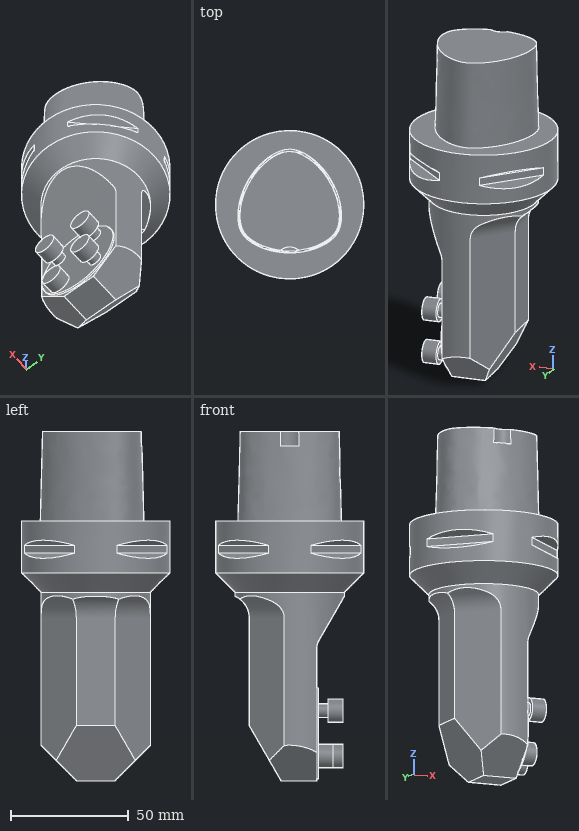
import math

import cadquery as cq


shank_height = 38.0
shank_mean_radius = 22.0
shank_taper = 1 / 40
lobe_amplitude = 1.55
profile_points = 36

notch_radius = 6.0
notch_innermost_y = -17.9
notch_depth = 6.3

collar_diameter = 63.0
collar_radius = collar_diameter / 2
collar_height = 22.0
neck_diameter = 46.5
neck_radius = neck_diameter / 2
cone_height = collar_radius - neck_radius
total_height = 148.3
tip_z = shank_height - total_height
neck_top_z = -collar_height - cone_height

slot_count = 4
slot_floor_distance = 27.7
slot_floor_width = 3.3
slot_centre_z = -12.0
slot_flank_angle = 30.0

back_flat_distance = 17.2
side_flat_distance = 18.0
side_flat_turn = 45.0
flat_start_z = -41.1
runout_radius = 10.0
back_runout_sweep = 90.0
side_runout_sweep = 45.0

mount_face_x = 11.5
slope_angle = 60.0
slope_start_z = -31.9
slope_blend_radius = 8.0

back_bevel_angle = 60.0
tip_back_x = -3.6
tip_half_width = 8.0

disc_diameter = 38.6
disc_thickness = 0.8
disc_centre_rise = 20.3
disc_centre_z = tip_z + disc_centre_rise
disc_face_x = mount_face_x + disc_thickness
bolt_circle_radius = 13.6
bolt_offset = bolt_circle_radius * math.sin(math.radians(45))
screw_head_diameter = 10.0
screw_shank_diameter = 6.0
screw_gap = 3.9
raised_head_height = 6.5
seated_head_height = 6.0

clearance = 100.0


def lobed_wire(mean_radius, z):
    """Closed constant-width curve with support mean_radius + amplitude * cos(3a), a lobe on +Y."""
    points = []
    for index in range(profile_points):
        angle = 2 * math.pi * index / profile_points
        support = mean_radius + lobe_amplitude * math.cos(3 * angle)
        support_slope = -3 * lobe_amplitude * math.sin(3 * angle)
        along = support * math.cos(angle) - support_slope * math.sin(angle)
        across = support * math.sin(angle) + support_slope * math.cos(angle)
        points.append(cq.Vector(-across, along, z))
    return cq.Wire.assembleEdges([cq.Edge.makeSpline(points, periodic=True)])


def make_shank():
    top_radius = shank_mean_radius - shank_height * shank_taper
    base = lobed_wire(shank_mean_radius, 0)
    top = lobed_wire(top_radius, shank_height)
    shank = cq.Workplane(cq.Solid.makeLoft([base, top]))
    notch = (
        cq.Workplane("XY", origin=(0, notch_innermost_y - notch_radius, shank_height - notch_depth))
        .circle(notch_radius)
        .extrude(notch_depth)
    )
    return shank.cut(notch)


def make_body():
    """Collar, cone and full round neck as one turned piece."""
    return (
        cq.Workplane("XZ")
        .moveTo(0, 0)
        .lineTo(collar_radius, 0)
        .lineTo(collar_radius, -collar_height)
        .lineTo(neck_radius, neck_top_z)
        .lineTo(neck_radius, tip_z)
        .lineTo(0, tip_z)
        .close()
        .revolve(360, (0, 0, 0), (0, 1, 0))
    )


def through_prism(outline):
    """Prism of an XZ outline, reaching past the part both ways along Y."""
    return outline.extrude(clearance, both=True)


def cut_gripper_slots(body):
    floor_half = slot_floor_width / 2
    flare = (collar_radius - slot_floor_distance) * math.tan(math.radians(slot_flank_angle))
    mouth_half = floor_half + flare
    outline = cq.Workplane("XZ").polyline([
        (slot_floor_distance, slot_centre_z - floor_half),
        (slot_floor_distance, slot_centre_z + floor_half),
        (collar_radius, slot_centre_z + mouth_half),
        (collar_radius, slot_centre_z - mouth_half),
    ]).close()
    cutter = through_prism(outline)
    step = 360 / slot_count
    for index in range(slot_count):
        body = body.cut(cutter.rotate((0, 0, 0), (0, 0, 1), step * (index + 0.5)))
    return body


def flat_cutter(distance, sweep_degrees):
    """Cutter for a flat facing +X, running out upward through an arc and a tangent line."""
    sweep = math.radians(sweep_degrees)

    def arc_point(angle):
        return (
            distance + runout_radius * (1 - math.cos(angle)),
            flat_start_z + runout_radius * math.sin(angle),
        )

    arc_end = arc_point(sweep)
    outer = collar_radius
    slope_end_z = arc_end[1] + (outer - arc_end[0]) / math.tan(sweep)
    outline = (
        cq.Workplane("XZ")
        .moveTo(distance, tip_z)
        .lineTo(distance, flat_start_z)
        .threePointArc(arc_point(sweep / 2), arc_end)
        .lineTo(outer, slope_end_z)
        .lineTo(outer, tip_z)
        .close()
    )
    return through_prism(outline)


def cut_neck_flats(neck):
    axis_start = (0, 0, 0)
    axis_end = (0, 0, 1)
    back_cutter = flat_cutter(back_flat_distance, back_runout_sweep)
    neck = neck.cut(back_cutter.rotate(axis_start, axis_end, 180))
    side_flat_cutter = flat_cutter(side_flat_distance, side_runout_sweep)
    for turn in (-side_flat_turn, side_flat_turn):
        neck = neck.cut(side_flat_cutter.rotate(axis_start, axis_end, 180 + turn))
    return neck


def cut_mount_face(neck):
    slope = math.radians(slope_angle)
    corner_z = slope_start_z - (neck_radius - mount_face_x) * math.tan(slope)
    turn = math.pi / 2 - slope
    tangent = slope_blend_radius * math.tan(turn / 2)
    blend_bottom_z = corner_z - tangent
    blend_centre_x = mount_face_x + slope_blend_radius

    def blend_point(angle):
        return (
            blend_centre_x - slope_blend_radius * math.cos(angle),
            blend_bottom_z + slope_blend_radius * math.sin(angle),
        )

    outline = (
        cq.Workplane("XZ")
        .moveTo(mount_face_x, tip_z)
        .lineTo(mount_face_x, blend_bottom_z)
        .threePointArc(blend_point(turn / 2), blend_point(turn))
        .lineTo(neck_radius, slope_start_z)
        .lineTo(collar_radius, slope_start_z)
        .lineTo(collar_radius, tip_z)
        .close()
    )
    return neck.cut(through_prism(outline))


def cut_tip_bevels(neck):
    back_run = neck_radius + tip_back_x
    back_top_z = tip_z + back_run * math.tan(math.radians(back_bevel_angle))
    back_bevel = cq.Workplane("XZ").polyline([
        (tip_back_x, tip_z),
        (-neck_radius, tip_z),
        (-neck_radius, back_top_z),
    ]).close()
    neck = neck.cut(through_prism(back_bevel))

    side_top_z = tip_z + neck_radius - tip_half_width
    for side in (-1, 1):
        side_bevel = (
            cq.Workplane("YZ")
            .polyline([
                (side * tip_half_width, tip_z),
                (side * neck_radius, tip_z),
                (side * neck_radius, side_top_z),
            ])
            .close()
            .extrude(clearance, both=True)
        )
        neck = neck.cut(side_bevel)
    return neck


def rod_along_x(diameter, start_x, end_x, y, z):
    return (
        cq.Workplane("YZ", origin=(start_x, y, z))
        .circle(diameter / 2)
        .extrude(end_x - start_x)
    )


def raised_screw(y, z):
    """Screw standing off the disc face, its shank showing below the head."""
    head_start_x = disc_face_x + screw_gap
    head_end_x = head_start_x + raised_head_height
    shank = rod_along_x(screw_shank_diameter, disc_face_x, head_start_x, y, z)
    head = rod_along_x(screw_head_diameter, head_start_x, head_end_x, y, z)
    return shank.union(head)


def seated_screw(y, z):
    """Screw whose head rests on the disc face."""
    head_end_x = disc_face_x + seated_head_height
    return rod_along_x(screw_head_diameter, disc_face_x, head_end_x, y, z)


def add_coupling(part):
    """Coupling disc with three raised screws and one seated screw at the lower -Y corner."""
    upper_z = disc_centre_z + bolt_offset
    lower_z = disc_centre_z - bolt_offset
    disc = rod_along_x(disc_diameter, mount_face_x, disc_face_x, 0, disc_centre_z)
    part = part.union(disc)
    for y, z in ((-bolt_offset, upper_z), (bolt_offset, upper_z), (bolt_offset, lower_z)):
        part = part.union(raised_screw(y, z))
    return part.union(seated_screw(-bolt_offset, lower_z))


body = make_body()
body = cut_gripper_slots(body)
body = cut_neck_flats(body)
body = cut_mount_face(body)
body = cut_tip_bevels(body)
result = add_coupling(body.union(make_shank()))